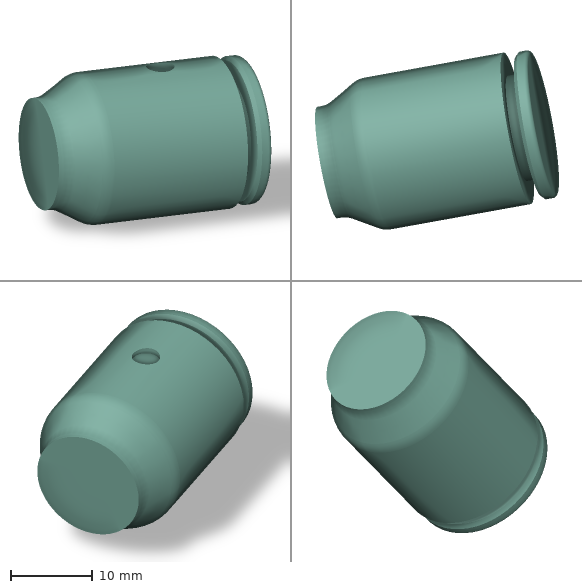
import cadquery as cq
import math

LENGTH = 27.27

BODY_RADIUS = 9.5
NOSE_RADIUS = 6.98
NECK_RADIUS = 6.6
FLANGE_RADIUS = 9.25

FLANGE_THICKNESS = 1.8
FLANGE_FILLET = 0.45
FLANGE_CHAMFER = 0.45
NECK_LENGTH = 1.5

NOSE_LAND = 0.45
TAPER_ANGLE = math.radians(30)
BLEND_RADIUS = 2.95

RECESS_DIAMETER = 3.5
RECESS_Y = 16.0
RECESS_DEPTH = 0.8


def blend_offset(angle):
    """Axial and radial travel along a blend arc that starts parallel to the axis."""
    return BLEND_RADIUS * math.sin(angle), BLEND_RADIUS * (1 - math.cos(angle))


def turned_body():
    """Revolve the half profile (radius along X, axis along Y)."""
    blend_length, blend_drop = blend_offset(TAPER_ANGLE)
    mid_length, mid_drop = blend_offset(TAPER_ANGLE / 2)

    cone_small_radius = NOSE_RADIUS + blend_drop
    cone_large_radius = BODY_RADIUS - blend_drop
    cone_length = (cone_large_radius - cone_small_radius) / math.tan(TAPER_ANGLE)
    cone_start = NOSE_LAND + blend_length
    cone_end = cone_start + cone_length
    body_start = cone_end + blend_length

    flange_start = LENGTH - FLANGE_THICKNESS
    body_end = flange_start - NECK_LENGTH
    fillet_inset = FLANGE_FILLET * (1 - math.sqrt(0.5))

    profile = (
        cq.Workplane("XY")
        .moveTo(0, 0)
        .lineTo(NOSE_RADIUS, 0)
        .lineTo(NOSE_RADIUS, NOSE_LAND)
        .threePointArc(
            (NOSE_RADIUS + mid_drop, NOSE_LAND + mid_length),
            (cone_small_radius, cone_start),
        )
        .lineTo(cone_large_radius, cone_end)
        .threePointArc(
            (BODY_RADIUS - mid_drop, body_start - mid_length),
            (BODY_RADIUS, body_start),
        )
        .lineTo(BODY_RADIUS, body_end)
        .lineTo(NECK_RADIUS, body_end)
        .lineTo(NECK_RADIUS, flange_start)
        .lineTo(FLANGE_RADIUS - FLANGE_CHAMFER, flange_start)
        .lineTo(FLANGE_RADIUS, flange_start + FLANGE_CHAMFER)
        .lineTo(FLANGE_RADIUS, LENGTH - FLANGE_FILLET)
        .threePointArc(
            (FLANGE_RADIUS - fillet_inset, LENGTH - fillet_inset),
            (FLANGE_RADIUS - FLANGE_FILLET, LENGTH),
        )
        .lineTo(0, LENGTH)
        .close()
    )
    return profile.revolve(360, (0, 0, 0), (0, 1, 0))


def top_recess():
    """Flat-bottomed round cutter sunk into the top of the body."""
    return (
        cq.Workplane("XY", origin=(0, RECESS_Y, BODY_RADIUS - RECESS_DEPTH))
        .circle(RECESS_DIAMETER / 2)
        .extrude(2 * RECESS_DEPTH)
    )


result = turned_body().cut(top_recess())